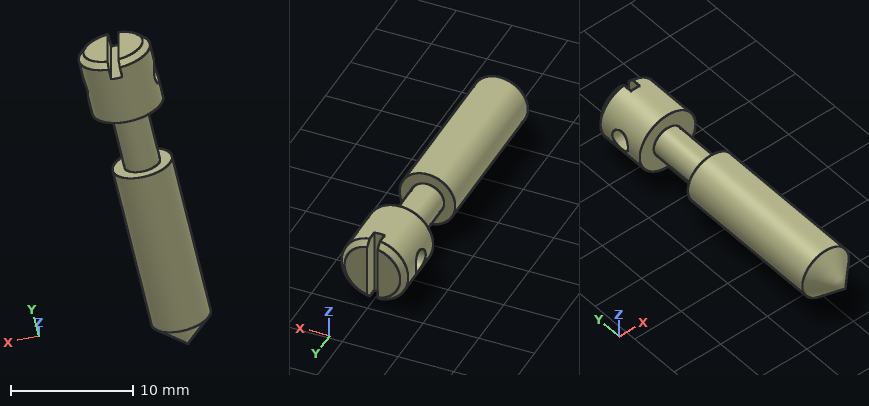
import cadquery as cq

total_length = 28.0
head_diameter = 6.0
head_length = 5.5
head_chamfer = 0.5
neck_diameter = 3.0
neck_length = 5.5
body_diameter = 5.0
tip_length = body_diameter / 2

cross_hole_diameter = 2.0
cross_hole_from_end = 3.0
slot_width = 0.92
slot_depth = 1.4

head_start = total_length - head_length
neck_start = head_start - neck_length
head_radius = head_diameter / 2
neck_radius = neck_diameter / 2
body_radius = body_diameter / 2


def turned_blank():
    """Revolve the half profile (radius, Y) around the Y axis."""
    half_profile = [
        (0, 0),
        (body_radius, tip_length),
        (body_radius, neck_start),
        (neck_radius, neck_start),
        (neck_radius, head_start),
        (head_radius, head_start),
        (head_radius, total_length - head_chamfer),
        (head_radius - head_chamfer, total_length),
        (0, total_length),
    ]
    return cq.Workplane("XY").polyline(half_profile).close().revolve(360, (0, 0), (0, 1))


def cross_hole():
    """Cylinder through the head along X."""
    return (
        cq.Workplane("YZ")
        .center(total_length - cross_hole_from_end, 0)
        .circle(cross_hole_diameter / 2)
        .extrude(head_radius, both=True)
    )


def driver_slot():
    """Slot across the head end, running along Z."""
    return (
        cq.Workplane("XY")
        .box(slot_width, slot_depth, head_diameter)
        .translate((0, total_length - slot_depth / 2, 0))
    )


result = turned_blank().cut(cross_hole()).cut(driver_slot())